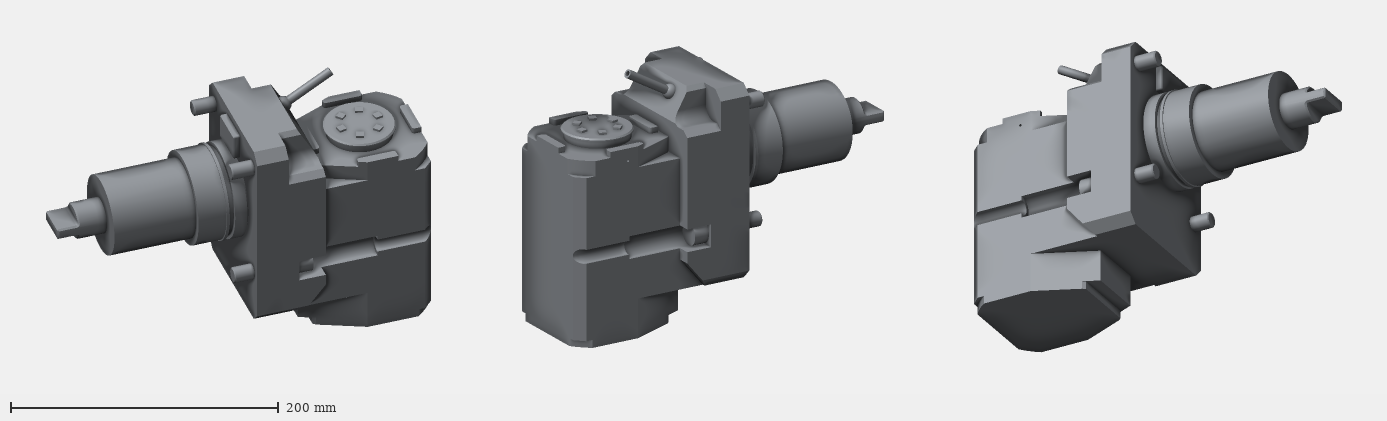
import cadquery as cq
import math


PLATE_WIDTH = 108.0
PLATE_TOP = 65.0
PLATE_BOTTOM = -90.0
PLATE_BACK = 54.3
PLATE_CORNER = 7.8
TOP_BEVEL_DEPTH = 14.5
TOP_BEVEL_ANGLE = 60
BOTTOM_BEVEL_DEPTH = 19.8
BOTTOM_BEVEL_HEIGHT = 23.8

SEAT_FLOOR_Y = 25.0
SEAT_AXIS_X = 42.8
SEAT_AXIS_Z = 48.0
SEAT_RADIUS = 9.8
SEAT_LEDGE_X = 48.8
SEAT_EDGE_DROP = 4.3
SEAT_CHAMFER = 3.5

HOUSING_WIDTH = 87.5
HOUSING_BACK = 143.6
HOUSING_CORNER = 7.2
HOUSING_TOP = 14.7
HOUSING_BOTTOM = -115.2
HOUSING_NOSE_Y = 43.0
HOUSING_OVERLAP_Y = 28.7
TAPER_START_Y = 91.0
TAPER_ANGLE = 23.7

HEAD_AXIS_Y = 100.0
TOP_COVER_Z = 26.7
BASE_COVER_Z = -121.5
COVER_FRONT_Y = 53.5
COVER_CORNER_Y = 55.7
COVER_NOSE_HALF = 26.1
TOP_COVER_RADIUS = 52.3
BASE_COVER_RADIUS = 53.7

PAD_LENGTH = 30.7
PAD_DEPTH = 7.2
PAD_TOP = 31.3
PAD_CORNER = 2.3
OIL_HOLE_DIAMETER = 2.1
OIL_HOLE_Z = 21.5
OIL_HOLE_DEPTH = 3.0

DRUM_DIAMETER = 50.9
RIM_DIAMETER = 55.0
RIM_BOTTOM = 33.0
RIM_TOP = 35.0
RIM_CHAMFER = 1.1
DOG_COUNT = 6
DOG_RADIUS = 15.8
DOG_SIZE = 5.7
DOG_TOP = 36.8
DOG_START_ANGLE = 42

SHANK_STEPS = [
    (68.0, -1.7),
    (74.7, -11.5),
    (68.0, -15.8),
    (75.0, -18.0),
    (73.0, -40.2),
    (62.0, -105.0),
]
DRIVE_DIAMETER = 28.0
TANG_START_Y = -127.0
TANG_END_Y = -143.6
TANG_THICKNESS = 9.0
TANG_FILLET = 1.7
TANG_CHAMFER = 1.1
TANG_EDGE = 1.0
SHOULDER_CHAMFER = 1.1

SCREWS = [
    (-42.5, 48.0, 17.5),
    (42.5, 48.0, 17.5),
    (-42.2, -47.0, 15.5),
    (42.5, -48.3, 15.5),
]
SCREW_DIAMETER = 12.0
SCREW_CHAMFER = 1.0

CHANNEL_X = 42.2
CHANNEL_Z = -48.0
KEY_SLOT_DIAMETER = 11.5
HEAD_SLOT_DIAMETER = 18.0
HEAD_SLOT_BACK = 98.8
HEAD_SLOT_FRONT = 33.5
HEAD_DIAMETER = 17.8
HEAD_LENGTH = 12.0

KEY_WIDTH = 30.7
KEY_TOP = 58.3
KEY_BOTTOM = 38.0
KEY_PROJECTION = 5.2
KEY_CORNER = 1.5
KEY_EDGE = 1.0

NOZZLE_X = -14.0
NOZZLE_Y = 44.8
BALL_DIAMETER = 12.0
TUBE_DIAMETER = 7.0
BORE_DIAMETER = 4.0
TUBE_LENGTH = 43.0
TUBE_TOP = 81.0


def y_cylinder(x, z, diameter, start_y, end_y):
    """Cylinder along Y between two Y positions."""
    plane = cq.Plane(origin=(x, start_y, z), xDir=(1, 0, 0), normal=(0, 1, 0))
    return cq.Workplane(plane).circle(diameter / 2).extrude(end_y - start_y)


def block(x_range, y_range, z_range):
    """Box given by its limits along each axis."""
    lows, highs = zip(x_range, y_range, z_range)
    sizes = [high - low for low, high in zip(lows, highs)]
    return cq.Workplane("XY").box(*sizes, centered=False).translate(lows)


def both_sides(solid):
    """A solid joined with its mirror image across X = 0."""
    return solid.union(solid.mirror("YZ"))


top_bevel_height = TOP_BEVEL_DEPTH * math.tan(math.radians(TOP_BEVEL_ANGLE))
bevel_top_y = PLATE_BACK - TOP_BEVEL_DEPTH
half_plate = PLATE_WIDTH / 2


def make_plate():
    side_outline = [
        (0, PLATE_BOTTOM),
        (PLATE_BACK - BOTTOM_BEVEL_DEPTH, PLATE_BOTTOM),
        (PLATE_BACK, PLATE_BOTTOM + BOTTOM_BEVEL_HEIGHT),
        (PLATE_BACK, PLATE_TOP - top_bevel_height),
        (bevel_top_y, PLATE_TOP),
        (0, PLATE_TOP),
    ]
    profile = cq.Workplane("YZ").polyline(side_outline).close().extrude(half_plate, both=True)
    front_outline = (
        block((-half_plate, half_plate), (0, PLATE_BACK), (PLATE_BOTTOM, PLATE_TOP))
        .edges("|Y")
        .chamfer(PLATE_CORNER)
    )
    return profile.intersect(front_outline)


def make_screw_seat():
    """Material removed from the +X upper corner behind the seat floor."""
    wall_x = SEAT_AXIS_X - SEAT_RADIUS
    ledge_z = SEAT_AXIS_Z - SEAT_RADIUS
    arc_reach = SEAT_RADIUS * math.sqrt(0.5)
    plane = cq.Plane(origin=(0, SEAT_FLOOR_Y, 0), xDir=(1, 0, 0), normal=(0, -1, 0))
    return (
        cq.Workplane(plane)
        .moveTo(half_plate, PLATE_TOP)
        .lineTo(wall_x - SEAT_CHAMFER, PLATE_TOP)
        .lineTo(wall_x, PLATE_TOP - SEAT_CHAMFER)
        .lineTo(wall_x, SEAT_AXIS_Z)
        .threePointArc((SEAT_AXIS_X - arc_reach, SEAT_AXIS_Z - arc_reach), (SEAT_AXIS_X, ledge_z))
        .lineTo(SEAT_LEDGE_X, ledge_z)
        .lineTo(half_plate, ledge_z - SEAT_EDGE_DROP)
        .close()
        .extrude(SEAT_FLOOR_Y - PLATE_BACK)
    )


half_housing = HOUSING_WIDTH / 2
taper_slope = math.tan(math.radians(TAPER_ANGLE))


def tapered_half_width(y):
    """Half width of the tapering front part at a Y position."""
    return half_housing - (TAPER_START_Y - y) * taper_slope


def make_housing():
    upper = (
        block(
            (-half_housing, half_housing),
            (HOUSING_OVERLAP_Y, HOUSING_BACK),
            (PLATE_BOTTOM, HOUSING_TOP),
        )
        .edges("|Z and >Y")
        .chamfer(HOUSING_CORNER)
    )
    nose_half = tapered_half_width(HOUSING_NOSE_Y)
    lower = (
        cq.Workplane("XY", origin=(0, 0, HOUSING_BOTTOM))
        .polyline([
            (-nose_half, HOUSING_NOSE_Y),
            (nose_half, HOUSING_NOSE_Y),
            (half_housing, TAPER_START_Y),
            (half_housing, HOUSING_BACK),
            (-half_housing, HOUSING_BACK),
            (-half_housing, TAPER_START_Y),
        ])
        .close()
        .extrude(PLATE_BOTTOM - HOUSING_BOTTOM)
        .edges("|Z and >Y")
        .chamfer(HOUSING_CORNER)
    )
    return upper.union(lower)


def make_cover(bottom, top, back_radius):
    """Cover with a tapered front and back corners rounded about the head axis."""
    shoulder_half = tapered_half_width(COVER_CORNER_Y)
    outline = (
        cq.Workplane("XY", origin=(0, 0, bottom))
        .polyline([
            (-COVER_NOSE_HALF, COVER_FRONT_Y),
            (COVER_NOSE_HALF, COVER_FRONT_Y),
            (shoulder_half, COVER_CORNER_Y),
            (half_housing, TAPER_START_Y),
            (half_housing, HOUSING_BACK),
            (-half_housing, HOUSING_BACK),
            (-half_housing, TAPER_START_Y),
            (-shoulder_half, COVER_CORNER_Y),
        ])
        .close()
        .extrude(top - bottom)
    )
    rounding = cq.Workplane("XY", origin=(0, HEAD_AXIS_Y, bottom)).circle(back_radius).extrude(top - bottom)
    front_part = block((-half_housing, half_housing), (COVER_FRONT_Y, HEAD_AXIS_Y), (bottom, top))
    return outline.intersect(rounding.union(front_part))


def make_pads():
    """Four locating pads, one at the middle of each side of the top cover."""
    half_length = PAD_LENGTH / 2
    side_pad = (
        block(
            (half_housing - PAD_DEPTH, half_housing),
            (HEAD_AXIS_Y - half_length, HEAD_AXIS_Y + half_length),
            (TOP_COVER_Z, PAD_TOP),
        )
        .edges("|Z and <X")
        .fillet(PAD_CORNER)
    )
    axis_start = (0, HEAD_AXIS_Y, 0)
    axis_end = (0, HEAD_AXIS_Y, 1)
    pads = cq.Workplane("XY")
    for turn in (0, 90, 180, 270):
        pads = pads.union(side_pad.rotate(axis_start, axis_end, turn))
    return pads.intersect(make_cover(TOP_COVER_Z, PAD_TOP, TOP_COVER_RADIUS))


def make_oil_hole():
    plane = cq.Plane(origin=(-half_housing, HEAD_AXIS_Y, OIL_HOLE_Z), xDir=(0, 1, 0), normal=(1, 0, 0))
    return cq.Workplane(plane).circle(OIL_HOLE_DIAMETER / 2).extrude(OIL_HOLE_DEPTH)


def make_output_head():
    base = cq.Workplane("XY", origin=(0, HEAD_AXIS_Y, TOP_COVER_Z))
    drum = base.circle(DRUM_DIAMETER / 2).extrude(RIM_TOP - TOP_COVER_Z)
    rim = (
        cq.Workplane("XY", origin=(0, HEAD_AXIS_Y, RIM_BOTTOM))
        .circle(RIM_DIAMETER / 2)
        .extrude(RIM_TOP - RIM_BOTTOM)
        .faces(">Z")
        .chamfer(RIM_CHAMFER)
    )
    dogs = (
        cq.Workplane("XY", origin=(0, HEAD_AXIS_Y, RIM_TOP))
        .polarArray(DOG_RADIUS, DOG_START_ANGLE, 360, DOG_COUNT)
        .rect(DOG_SIZE, DOG_SIZE)
        .extrude(DOG_TOP - RIM_TOP)
    )
    return drum.union(rim).union(dogs)


def make_shank():
    shank = cq.Workplane("XY")
    start_y = 0
    for diameter, end_y in SHANK_STEPS:
        shank = shank.union(y_cylinder(0, 0, diameter, start_y, end_y))
        start_y = end_y
    return shank


def make_drive():
    """Drive end with a flat tang, filleted into a chamfered shoulder."""
    half_flat = TANG_THICKNESS / 2
    shank_end_y = SHANK_STEPS[-1][1]
    bar = y_cylinder(0, 0, DRIVE_DIAMETER, shank_end_y, TANG_END_Y).faces("<Y").chamfer(TANG_CHAMFER)
    flat_cut = (
        block(
            (-DRIVE_DIAMETER, DRIVE_DIAMETER),
            (TANG_END_Y, TANG_START_Y),
            (half_flat, DRIVE_DIAMETER),
        )
        .edges("|X and >Y and <Z")
        .fillet(TANG_FILLET)
    )
    drive = bar.cut(flat_cut).cut(flat_cut.mirror("XY"))
    drive = drive.faces("<Y").edges("|X").chamfer(TANG_EDGE)
    shoulder_middle_z = (half_flat + DRIVE_DIAMETER / 2) / 2
    for z in (-shoulder_middle_z, shoulder_middle_z):
        shoulder = cq.NearestToPointSelector((0, TANG_START_Y, z))
        drive = drive.faces(shoulder).edges("%CIRCLE").chamfer(SHOULDER_CHAMFER)
    return drive


def make_screw_tips():
    tips = cq.Workplane("XY")
    for x, z, projection in SCREWS:
        tip = y_cylinder(x, z, SCREW_DIAMETER, 0, -projection)
        tips = tips.union(tip.faces("<Y").chamfer(SCREW_CHAMFER))
    return tips


def make_channel():
    """Stepped channel on the +X side, open sideways, for a screw and its key."""
    key_slot = y_cylinder(CHANNEL_X, CHANNEL_Z, KEY_SLOT_DIAMETER, HEAD_SLOT_BACK, HOUSING_BACK)
    head_slot = y_cylinder(CHANNEL_X, CHANNEL_Z, HEAD_SLOT_DIAMETER, HEAD_SLOT_FRONT, HEAD_SLOT_BACK)
    half_slot = HEAD_SLOT_DIAMETER / 2
    side_opening = block(
        (CHANNEL_X, half_plate),
        (HEAD_SLOT_FRONT, HEAD_SLOT_BACK),
        (CHANNEL_Z - half_slot, CHANNEL_Z + half_slot),
    )
    return key_slot.union(head_slot).union(side_opening)


def make_screw_head():
    return y_cylinder(CHANNEL_X, CHANNEL_Z, HEAD_DIAMETER, HEAD_SLOT_FRONT, HEAD_SLOT_FRONT + HEAD_LENGTH)


def make_key():
    return (
        block((-KEY_WIDTH / 2, KEY_WIDTH / 2), (-KEY_PROJECTION, 0), (KEY_BOTTOM, KEY_TOP))
        .edges("|Y")
        .fillet(KEY_CORNER)
        .faces("<Y")
        .chamfer(KEY_EDGE)
    )


def make_nozzle():
    """Ball seat and drilled tube, square to the upper bevel of the plate."""
    tilt = math.radians(TOP_BEVEL_ANGLE)
    ball_z = PLATE_TOP - (NOZZLE_Y - bevel_top_y) * math.tan(tilt)
    direction = (0, math.sin(tilt), math.cos(tilt))
    centre = (NOZZLE_X, NOZZLE_Y, ball_z)
    axis = cq.Workplane(cq.Plane(origin=centre, xDir=(1, 0, 0), normal=direction))
    ball = cq.Workplane("XY").sphere(BALL_DIAMETER / 2).translate(centre)
    tube = axis.circle(TUBE_DIAMETER / 2).extrude(TUBE_LENGTH)
    bore = axis.circle(BORE_DIAMETER / 2).extrude(TUBE_LENGTH)
    clearance = block(
        (-half_plate, half_plate),
        (0, HOUSING_BACK),
        (TUBE_TOP, TUBE_TOP + TUBE_LENGTH),
    )
    return ball.union(tube).cut(bore).cut(clearance)


plate = make_plate().cut(both_sides(make_screw_seat()))
top_cover = make_cover(HOUSING_TOP, TOP_COVER_Z, TOP_COVER_RADIUS).cut(make_oil_hole())
base_cover = make_cover(BASE_COVER_Z, HOUSING_BOTTOM, BASE_COVER_RADIUS)

result = (
    plate.union(make_housing())
    .cut(both_sides(make_channel()))
    .union(both_sides(make_screw_head()))
    .union(top_cover)
    .union(base_cover)
    .union(make_pads())
    .union(make_output_head())
    .union(make_shank())
    .union(make_drive())
    .union(make_screw_tips())
    .union(make_key())
    .union(make_nozzle())
)